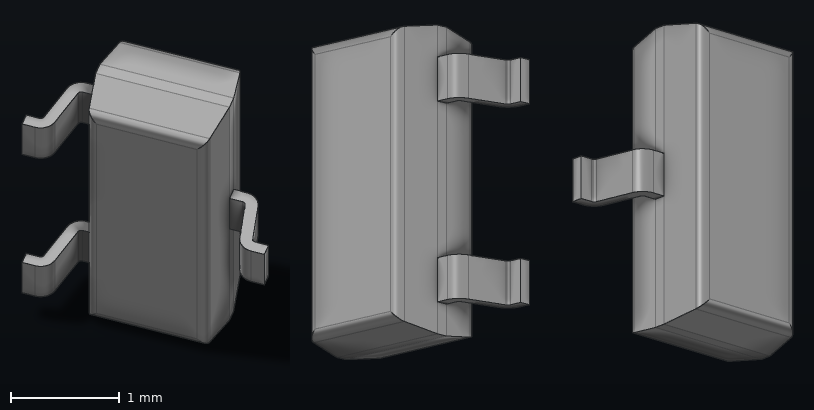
import cadquery as cq
import math

HOUSING_WIDTH = 1.3
HOUSING_HEIGHT = 2.92
HOUSING_FRONT_Y = 0.1
HOUSING_DEPTH = 1.022
BAND_BACK_Y = 0.672
DRAFT_ANGLE = 10.0
RIM_RADIUS = 0.1

LEAD_SPAN = 2.35
LEAD_WIDTH = 0.418
LEAD_THICKNESS = 0.12
FOOT_LENGTH = 0.128
SHANK_ANGLE = 78.0
BEND_INNER_RADIUS = 0.035
LEAD_OFFSET_Z = 0.95

BAND_FRONT_Y = BAND_BACK_Y - LEAD_THICKNESS
HOUSING_BACK_Y = HOUSING_FRONT_Y + HOUSING_DEPTH
BEND_OUTER_RADIUS = BEND_INNER_RADIUS + LEAD_THICKNESS


def housing_section(y, depth, taper=0):
    """Extrude the housing rectangle from the plane at y towards -Y; negative depth goes to +Y."""
    return (
        cq.Workplane("XZ", origin=(0, y, 0))
        .rect(HOUSING_WIDTH, HOUSING_HEIGHT)
        .extrude(depth, taper=taper)
    )


def make_housing():
    """Join the band and its two tapered caps, then round the front and back rims."""
    band = housing_section(BAND_BACK_Y, LEAD_THICKNESS)
    front_cap = housing_section(BAND_FRONT_Y, BAND_FRONT_Y - HOUSING_FRONT_Y, DRAFT_ANGLE)
    back_cap = housing_section(BAND_BACK_Y, BAND_BACK_Y - HOUSING_BACK_Y, DRAFT_ANGLE)
    housing = band.union(front_cap).union(back_cap)
    return housing.faces("<Y or >Y").edges().fillet(RIM_RADIUS)


def polar_point(center, radius, degrees):
    """Point on a circle at an angle measured from +X."""
    angle = math.radians(degrees)
    return (center[0] + radius * math.cos(angle), center[1] + radius * math.sin(angle))


def make_lead(side, z):
    """Bent strip flush with the housing; side is +1 for the +X side and -1 for the -X side."""
    turn = math.radians(SHANK_ANGLE)
    bend_mid_radius = BEND_INNER_RADIUS + LEAD_THICKNESS / 2

    bends_rise = 2 * bend_mid_radius * (1 - math.cos(turn))
    shank_length = (BAND_FRONT_Y - bends_rise) / math.sin(turn)
    bends_run = 2 * bend_mid_radius * math.sin(turn) + shank_length * math.cos(turn)

    tip_x = LEAD_SPAN / 2
    root_x = HOUSING_WIDTH / 2
    foot_x = tip_x - FOOT_LENGTH
    shoulder_x = foot_x - bends_run
    shoulder_center = (shoulder_x, BAND_BACK_Y - BEND_OUTER_RADIUS)
    foot_center = (foot_x, BEND_OUTER_RADIUS)

    shoulder_end = 90 - SHANK_ANGLE
    shoulder_middle = 90 - SHANK_ANGLE / 2
    foot_start = 270 - SHANK_ANGLE
    foot_middle = 270 - SHANK_ANGLE / 2

    profile = (
        cq.Workplane("XY", origin=(0, 0, z - LEAD_WIDTH / 2))
        .moveTo(root_x, BAND_BACK_Y)
        .lineTo(shoulder_x, BAND_BACK_Y)
        .threePointArc(
            polar_point(shoulder_center, BEND_OUTER_RADIUS, shoulder_middle),
            polar_point(shoulder_center, BEND_OUTER_RADIUS, shoulder_end),
        )
        .lineTo(*polar_point(foot_center, BEND_INNER_RADIUS, foot_start))
        .threePointArc(
            polar_point(foot_center, BEND_INNER_RADIUS, foot_middle),
            (foot_x, LEAD_THICKNESS),
        )
        .lineTo(tip_x, LEAD_THICKNESS)
        .lineTo(tip_x, 0)
        .lineTo(foot_x, 0)
        .threePointArc(
            polar_point(foot_center, BEND_OUTER_RADIUS, foot_middle),
            polar_point(foot_center, BEND_OUTER_RADIUS, foot_start),
        )
        .lineTo(*polar_point(shoulder_center, BEND_INNER_RADIUS, shoulder_end))
        .threePointArc(
            polar_point(shoulder_center, BEND_INNER_RADIUS, shoulder_middle),
            (shoulder_x, BAND_FRONT_Y),
        )
        .lineTo(root_x, BAND_FRONT_Y)
        .close()
    )
    lead = profile.extrude(LEAD_WIDTH)
    if side < 0:
        lead = lead.mirror("YZ")
    return lead


housing = make_housing()

lead_places = [(-1, LEAD_OFFSET_Z), (-1, -LEAD_OFFSET_Z), (1, 0)]
leads = [make_lead(side, z) for side, z in lead_places]

result = cq.Compound.makeCompound([housing.solids().val(), *[lead.val() for lead in leads]])